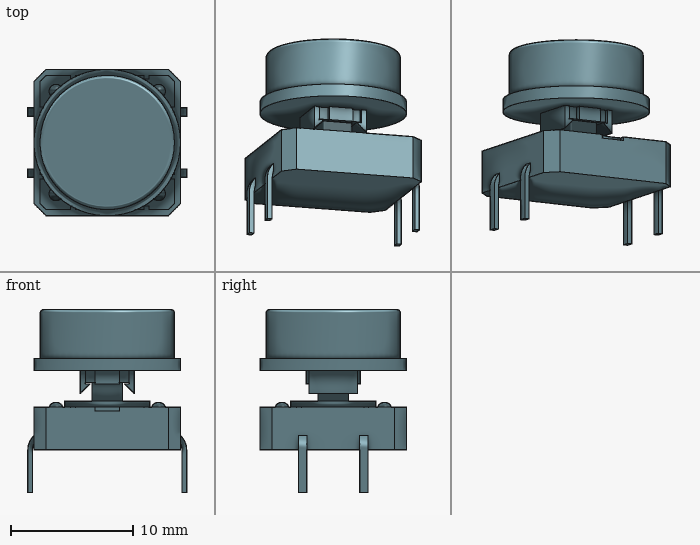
import cadquery as cq
import math

base_width = 12.0
base_height = 3.5
base_corner_cut = 1.0

rim_width = 0.5
cover_width = base_width - 2 * rim_width
cover_thickness = 0.5
cover_corner_cut = 0.5

key_width = 0.4
key_length = 0.3
keys_along_x = (-2.8, 3.2)
keys_along_y = (-2.8, 2.7)

notch_width = 2.0
notch_depth = 0.3

dome_sphere_radius = 0.6
dome_height = 0.4
dome_offset = 4.2

lead_span = 13.02
lead_thickness = 0.4
lead_width = 0.7
lead_spacing = 5.0
lead_drop = 3.5
lead_bend_radius = 1.6

collar_diameter = 7.0
collar_height = 0.5
shaft_width = 2.5
shaft_corner_radius = 0.13
head_width = 3.6
head_corner_radius = 0.15
head_bottom = 5.5

flange_diameter = 12.0
flange_thickness = 1.0
flange_bottom = 6.5
cap_diameter = 11.0
cap_top = 11.5
cap_edge_radius = 0.3
clip_outer_width = 4.46
hook_width = 4.0
hook_catch_top = 5.4
hook_bottom = 4.6
hook_reach = 0.4
tab_width = 2.0
tab_bottom = 5.4


def square_prism(width, bottom, top):
    """Square block centred on the Z axis."""
    return cq.Workplane("XY").workplane(offset=bottom).rect(width, width).extrude(top - bottom)


def make_collar():
    """Round collar that stands on the base and rises through the cover."""
    collar = cq.Workplane("XY").workplane(offset=base_height - cover_thickness)
    return collar.circle(collar_diameter / 2).extrude(cover_thickness + collar_height)


def make_stem():
    """Collar, shaft and the wider head that the cap clips onto."""
    shaft = square_prism(shaft_width, base_height + collar_height, head_bottom)
    shaft = shaft.edges("|Z").fillet(shaft_corner_radius)
    head = square_prism(head_width, head_bottom, flange_bottom)
    head = head.edges("|Z").fillet(head_corner_radius)
    return make_collar().union(shaft).union(head)


def make_cover_plate():
    """Flat plate with cut corners and two key slots in each edge."""
    bottom = base_height - cover_thickness
    plate = square_prism(cover_width, bottom, base_height).edges("|Z").chamfer(cover_corner_cut)
    slot_centre = (cover_width - key_length) / 2
    slots = cq.Workplane("XY").workplane(offset=bottom)
    for edge in (-slot_centre, slot_centre):
        for x in keys_along_x:
            plate = plate.cut(slots.center(x, edge).rect(key_width, key_length).extrude(cover_thickness))
        for y in keys_along_y:
            plate = plate.cut(slots.center(edge, y).rect(key_length, key_width).extrude(cover_thickness))
    return plate


def make_dome():
    """Sphere cap on the Z axis that rises from the top of the cover."""
    sphere = cq.Workplane("XY").sphere(dome_sphere_radius)
    sphere = sphere.translate((0, 0, base_height + dome_height - dome_sphere_radius))
    return sphere.intersect(square_prism(2 * dome_sphere_radius, base_height, base_height + dome_height))


def make_cover():
    """Plate with four domes and a round hole for the stem collar."""
    cover = make_cover_plate().cut(make_collar())
    dome = make_dome()
    for x in (-dome_offset, dome_offset):
        for y in (-dome_offset, dome_offset):
            cover = cover.union(dome.translate((x, y, 0)))
    return cover


def make_lead():
    """Lead on the +X side, centred on Y = 0: a strip bent down through a quarter turn."""
    outer_x = lead_span / 2
    inner_x = outer_x - lead_thickness
    bend_x = outer_x - lead_bend_radius
    inner_radius = lead_bend_radius - lead_thickness
    diagonal = math.sqrt(0.5)
    return (
        cq.Workplane("XZ")
        .moveTo(outer_x, -lead_drop)
        .lineTo(outer_x, 0)
        .threePointArc(
            (bend_x + lead_bend_radius * diagonal, lead_bend_radius * diagonal),
            (bend_x, lead_bend_radius),
        )
        .lineTo(bend_x, inner_radius)
        .threePointArc(
            (bend_x + inner_radius * diagonal, inner_radius * diagonal),
            (inner_x, 0),
        )
        .lineTo(inner_x, -lead_drop)
        .close()
        .extrude(lead_width / 2, both=True)
    )


def make_base():
    """Box with a seat for the cover, a notch in the front rim and four leads."""
    base = square_prism(base_width, 0, base_height).edges("|Z").chamfer(base_corner_cut)
    base = base.cut(make_cover_plate())
    notch = cq.Workplane("XY").box(notch_width, rim_width, notch_depth)
    notch = notch.translate((0, -(base_width - rim_width) / 2, base_height - notch_depth / 2))
    base = base.cut(notch)
    lead = make_lead()
    for y in (-lead_spacing / 2, lead_spacing / 2):
        for angle in (0, 180):
            base = base.union(lead.translate((0, y, 0)).rotate((0, 0, 0), (0, 0, 1), angle))
    return base


def make_hook():
    """Hook on the +X side that hangs from the flange and catches under the stem head."""
    inner_x = head_width / 2
    outer_x = clip_outer_width / 2
    return (
        cq.Workplane("XZ")
        .moveTo(inner_x, flange_bottom)
        .lineTo(outer_x, flange_bottom)
        .lineTo(outer_x, hook_bottom)
        .lineTo(inner_x - hook_reach, hook_catch_top)
        .lineTo(inner_x, hook_catch_top)
        .close()
        .extrude(hook_width / 2, both=True)
    )


def make_tab():
    """Plain tab on the +Y side that hangs from the flange beside the stem head."""
    thickness = (clip_outer_width - head_width) / 2
    height = flange_bottom - tab_bottom
    tab = cq.Workplane("XY").box(tab_width, thickness, height)
    return tab.translate((0, (clip_outer_width - thickness) / 2, tab_bottom + height / 2))


def make_cap():
    """Round button with a rounded top edge, a flange, two hooks and two tabs."""
    button = cq.Workplane("XY").workplane(offset=flange_bottom)
    button = button.circle(cap_diameter / 2).extrude(cap_top - flange_bottom)
    button = button.faces(">Z").edges().fillet(cap_edge_radius)
    flange = cq.Workplane("XY").workplane(offset=flange_bottom)
    flange = flange.circle(flange_diameter / 2).extrude(flange_thickness)
    cap = button.union(flange)
    for angle in (0, 180):
        for clip in (make_hook(), make_tab()):
            cap = cap.union(clip.rotate((0, 0, 0), (0, 0, 1), angle))
    return cap


base = make_base()
cover = make_cover()
stem = make_stem()
cap = make_cap()

result = cq.Compound.makeCompound([base.val(), cover.val(), stem.val(), cap.val()])